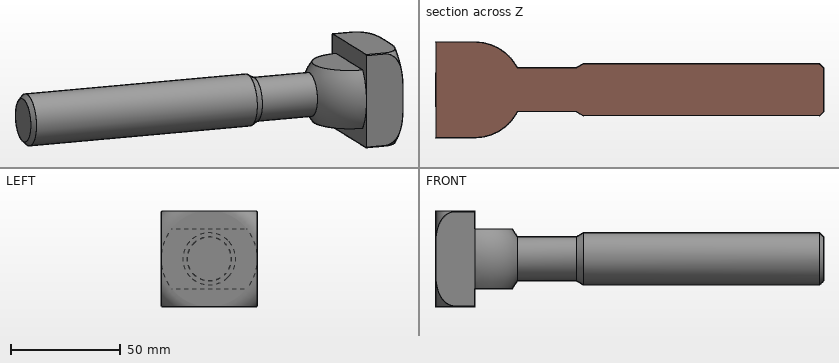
import cadquery as cq
import math

TOTAL_LENGTH = 178.0
HEAD_SIZE = 44.0
HEAD_THICKNESS = 18.0
NECK_END = 64.5

HEAD_CORNER_RADIUS = 30.8
HEAD_FACE_RADIUS = HEAD_SIZE / 2
HEAD_ROUNDING = HEAD_CORNER_RADIUS - HEAD_FACE_RADIUS

BALL_RADIUS = HEAD_SIZE / 2
COLLAR_HEIGHT = 27.5

NECK_RADIUS = 10.15
SHANK_RADIUS = 12.0
SHOULDER_LENGTH = 3.2
TIP_CHAMFER = 2.0


def revolve_about_x(profile):
    """Turn a closed XY profile a full revolution about the X axis."""
    return profile.close().revolve(360, (0, 0, 0), (1, 0, 0))


def make_head():
    """Square block limited by a turned blank with a rounded front rim."""
    block = cq.Workplane("XY").box(
        HEAD_THICKNESS, HEAD_SIZE, HEAD_SIZE, centered=(False, True, True)
    )
    bulge = HEAD_ROUNDING * math.sqrt(0.5)
    arc_middle = (HEAD_ROUNDING - bulge, HEAD_FACE_RADIUS + bulge)
    blank = revolve_about_x(
        cq.Workplane("XY")
        .lineTo(0, HEAD_FACE_RADIUS)
        .threePointArc(arc_middle, (HEAD_ROUNDING, HEAD_CORNER_RADIUS))
        .lineTo(HEAD_THICKNESS, HEAD_CORNER_RADIUS)
        .lineTo(HEAD_THICKNESS, 0)
    )
    return block.intersect(blank)


def make_collar():
    """Half ball centred on the back of the head, with flat top and bottom."""
    ball = cq.Workplane("XY").sphere(BALL_RADIUS).translate((HEAD_THICKNESS, 0, 0))
    slab = (
        cq.Workplane("XY")
        .box(BALL_RADIUS, HEAD_SIZE, COLLAR_HEIGHT, centered=(False, True, True))
        .translate((HEAD_THICKNESS, 0, 0))
    )
    return ball.intersect(slab)


def make_stem():
    """Neck, conical shoulder and shank with a chamfered tip."""
    return revolve_about_x(
        cq.Workplane("XY")
        .moveTo(HEAD_THICKNESS, 0)
        .lineTo(HEAD_THICKNESS, NECK_RADIUS)
        .lineTo(NECK_END, NECK_RADIUS)
        .lineTo(NECK_END + SHOULDER_LENGTH, SHANK_RADIUS)
        .lineTo(TOTAL_LENGTH - TIP_CHAMFER, SHANK_RADIUS)
        .lineTo(TOTAL_LENGTH, SHANK_RADIUS - TIP_CHAMFER)
        .lineTo(TOTAL_LENGTH, 0)
    )


result = make_head().union(make_collar()).union(make_stem())